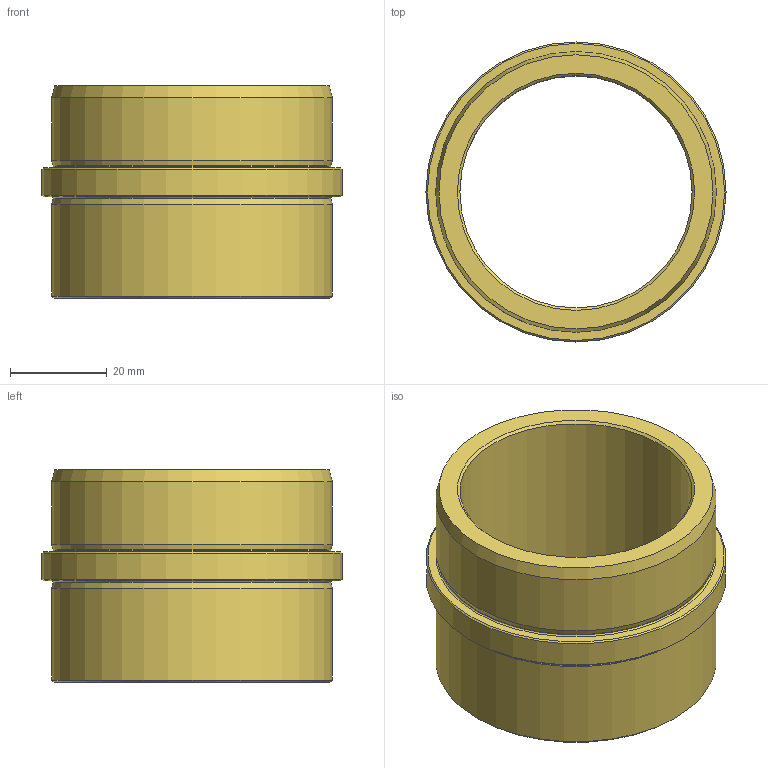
import cadquery as cq
import math

height = 44.0
body_radius = 29.0
bore_radius = 24.0
edge_chamfer = 0.5

taper_height = 2.5
taper_angle = 15.0
taper_depth = taper_height * math.tan(math.radians(taper_angle))

collar_radius = 31.0
collar_bottom = 21.0
collar_top = 27.0
collar_chamfer = 0.3

groove_depth = 0.3
groove_width = 1.5
groove_corner_radius = 0.3
groove_slope_angle = 15.0
groove_slope_length = groove_depth / math.tan(math.radians(groove_slope_angle))


def make_body():
    """Bored sleeve with chamfered bottom edge, top bore edge and lead-in taper."""
    outline = [
        (bore_radius, 0),
        (body_radius - edge_chamfer, 0),
        (body_radius, edge_chamfer),
        (body_radius, height - taper_height),
        (body_radius - taper_depth, height),
        (bore_radius + edge_chamfer, height),
        (bore_radius, height - edge_chamfer),
    ]
    return cq.Workplane("XZ").polyline(outline).close().revolve(360, (0, 0, 0), (0, 1, 0))


def make_collar():
    """Ring around the body with both outer edges chamfered."""
    ring = cq.Workplane("XY").workplane(offset=collar_bottom).circle(collar_radius)
    ring = ring.extrude(collar_top - collar_bottom).edges().chamfer(collar_chamfer)
    bore = cq.Workplane("XY").circle(bore_radius).extrude(height)
    return ring.cut(bore)


def make_groove(collar_face, direction):
    """Relief groove beside a collar face; direction is +1 above it and -1 below it."""
    floor_radius = body_radius - groove_depth
    corner_radius = groove_corner_radius
    bulge = corner_radius * (1 - math.sqrt(0.5))
    profile = (
        cq.Workplane("XZ")
        .moveTo(floor_radius + corner_radius, collar_face)
        .threePointArc(
            (floor_radius + bulge, collar_face + direction * bulge),
            (floor_radius, collar_face + direction * corner_radius),
        )
        .lineTo(floor_radius, collar_face + direction * (groove_width - groove_slope_length))
        .lineTo(body_radius, collar_face + direction * groove_width)
        .lineTo(collar_radius, collar_face + direction * groove_width)
        .lineTo(collar_radius, collar_face)
        .close()
    )
    return profile.revolve(360, (0, 0, 0), (0, 1, 0))


result = make_body().union(make_collar())
for face_height, side in ((collar_top, 1), (collar_bottom, -1)):
    result = result.cut(make_groove(face_height, side))